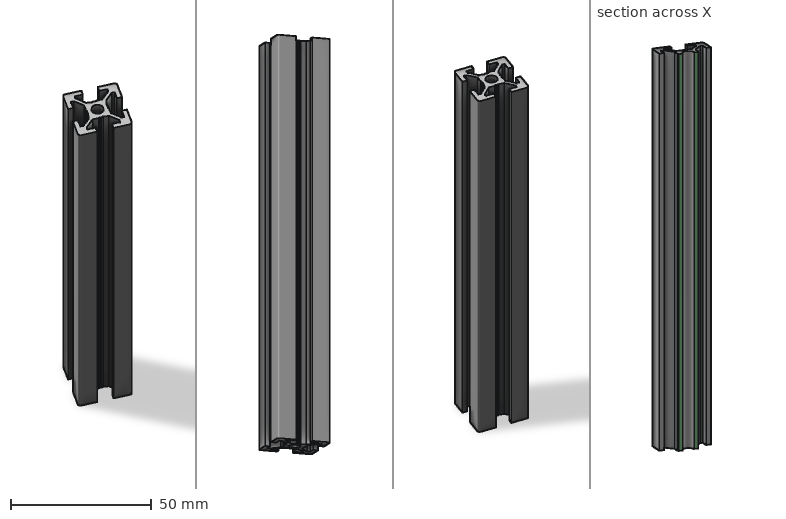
import cadquery as cq
import math

length = 147.0
side = 20.0
corner_radius = 1.0
bore_diameter = 4.3
slot_width = 6.0
lip_thickness = 1.9
cavity_width = 12.0
web_thickness = 1.5
core_width = 8.1
narrow_depth = 0.26
wide_depth = 0.3
crest_depth = 0.07

narrow_start = -0.7
narrow_bottom = -0.1
groove_crest = 0.3
wide_bottom = 1.0
wide_end = 2.5

half_side = side / 2
half_slot = slot_width / 2
half_cavity = cavity_width / 2
lip_inner = half_side - lip_thickness
floor = core_width / 2
web_offset = web_thickness / math.sqrt(2)
half_floor = floor - web_offset
cavity_shoulder = half_cavity + web_offset


def slot_cutter(angle):
    """T-slot with sloping flanks and two adjoining V grooves in its floor."""
    right_half = [
        (half_floor, floor),
        (half_cavity, cavity_shoulder),
        (half_cavity, lip_inner),
        (half_slot, lip_inner),
        (half_slot, half_side),
    ]
    left_half = [(-x, y) for x, y in reversed(right_half)]
    grooves = [
        (-wide_end, floor),
        (-wide_bottom, floor - wide_depth),
        (-groove_crest, floor - crest_depth),
        (-narrow_bottom, floor - narrow_depth),
        (-narrow_start, floor),
    ]
    outline = grooves + right_half + left_half
    cutter = cq.Workplane("XY").polyline(outline).close().extrude(length)
    return cutter.rotate((0, 0, 0), (0, 0, 1), angle)


bar = cq.Workplane("XY").rect(side, side).extrude(length)
bar = bar.edges("|Z").fillet(corner_radius)

for angle in (0, 90, 180, 270):
    bar = bar.cut(slot_cutter(angle))

bore = cq.Workplane("XY").circle(bore_diameter / 2).extrude(length)
result = bar.cut(bore)